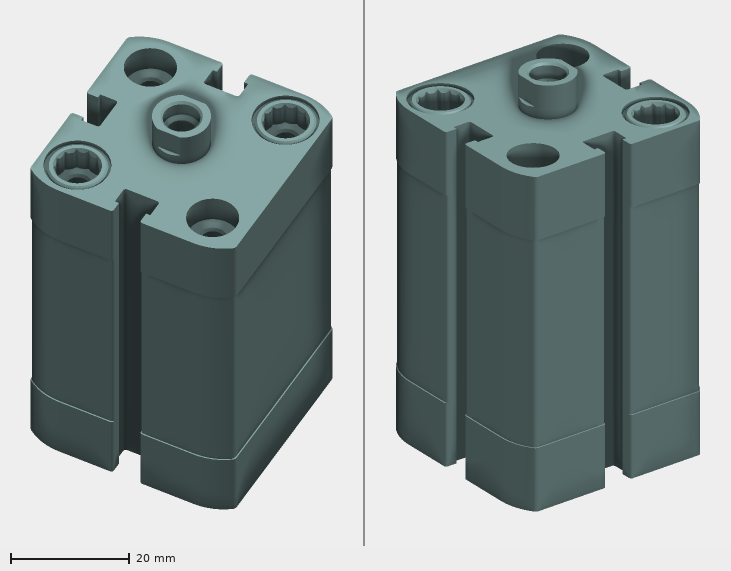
import cadquery as cq
import math

cap_width = 39.5
barrel_inset = 0.25
housing_height = 63.85
cap_height = 12.1
barrel_height = housing_height - 2 * cap_height

corner_arc_start = 13.0
corner_arc_radius = 10.7
corner_blend_radius = 0.9

slot_mouth_width = 5.2
slot_mouth_depth = 2.3
slot_width = 6.8
slot_depth = 5.75
slot_lip_radius = 0.5
slot_floor_radius = 0.5
slot_directions = [0, 90, 180]

hole_offset = 13.0
bore_diameter = 4.13
bore_mouth_diameter = 5.0
counterbore_diameter = 9.0
counterbore_depth = 5.0

recess_diameter = 11.5
recess_depth = 0.1
screw_diameter = 10.5
screw_chamfer = 0.4
screw_gap_depth = 0.8
socket_mouth_diameter = 8.3
socket_diameter = 7.5
hexagon_width = 7.0
hexagon_angles = [0, 30]
socket_mouth_slope = 60.0
socket_depth = 4.7

rod_diameter = 10.0
rod_projection = 6.45
rod_insertion = 24.0
rod_top = housing_height + rod_projection
rod_bottom = housing_height - rod_insertion
flat_distance = 9.0
flat_height = 4.3
shoulder_drop = 0.25

rod_hole_mouth_diameter = 7.2
rod_counterbore_diameter = 6.4
rod_counterbore_depth = 2.9
rod_thread_diameter = 5.0
rod_thread_depth = 14.0
drill_tip_angle = 118.0


def housing_profile(half_width, height):
    """Square prism whose four corners are broad arcs tangent to the Y faces."""
    run = half_width - corner_arc_start
    corner_y = half_width - corner_arc_radius + math.sqrt(corner_arc_radius**2 - run**2)
    half_angle = math.asin(run / corner_arc_radius) / 2
    mid_x = corner_arc_start + corner_arc_radius * math.sin(half_angle)
    mid_y = half_width - corner_arc_radius + corner_arc_radius * math.cos(half_angle)
    prism = (
        cq.Workplane("XY")
        .moveTo(-corner_arc_start, half_width)
        .lineTo(corner_arc_start, half_width)
        .threePointArc((mid_x, mid_y), (half_width, corner_y))
        .lineTo(half_width, -corner_y)
        .threePointArc((mid_x, -mid_y), (corner_arc_start, -half_width))
        .lineTo(-corner_arc_start, -half_width)
        .threePointArc((-mid_x, -mid_y), (-half_width, -corner_y))
        .lineTo(-half_width, corner_y)
        .threePointArc((-mid_x, mid_y), (-corner_arc_start, half_width))
        .close()
        .extrude(height)
    )
    return prism.edges("|Z and (>X or <X)").fillet(corner_blend_radius)


def slotted_profile(half_width, height):
    """Housing prism with a T-slot in the +Y, -X and -Y faces."""
    prism = housing_profile(half_width, height)
    channel_bottom = cap_width / 2 - slot_depth
    neck_bottom = cap_width / 2 - slot_mouth_depth
    channel = (
        cq.Workplane("XY")
        .center(0, (channel_bottom + neck_bottom) / 2)
        .rect(slot_width, neck_bottom - channel_bottom)
        .extrude(height)
        .edges("|Z and <Y")
        .fillet(slot_floor_radius)
    )
    lip_start = half_width - slot_lip_radius
    mouth = slot_mouth_width / 2
    lip = mouth + slot_lip_radius
    bulge = slot_lip_radius * (1 - math.sqrt(0.5))
    neck = (
        cq.Workplane("XY")
        .moveTo(-mouth, channel_bottom + slot_floor_radius)
        .lineTo(-mouth, lip_start)
        .threePointArc((-mouth - bulge, half_width - bulge), (-lip, half_width))
        .lineTo(lip, half_width)
        .threePointArc((mouth + bulge, half_width - bulge), (mouth, lip_start))
        .lineTo(mouth, channel_bottom + slot_floor_radius)
        .close()
        .extrude(height)
    )
    slot = channel.union(neck)
    for angle in slot_directions:
        prism = prism.cut(slot.rotate((0, 0, 0), (0, 0, 1), angle))
    return prism


def revolved(points):
    """Solid of revolution about Z from (radius, height) points."""
    return cq.Workplane("XZ").polyline(points).close().revolve(360, (0, 0, 0), (0, 1, 0))


def through_bore(floor):
    """Through bore, widened by a short cone just below the given floor height."""
    bore = bore_diameter / 2
    mouth = bore_mouth_diameter / 2
    return revolved([(0, 0), (bore, 0), (bore, floor - (mouth - bore)), (mouth, floor), (0, floor)])


def plain_hole():
    """Through bore with a plain counterbore."""
    floor = housing_height - counterbore_depth
    counterbore = cq.Workplane("XY").workplane(offset=floor).circle(counterbore_diameter / 2)
    return through_bore(floor).union(counterbore.extrude(counterbore_depth))


def hexagon_socket():
    """Double-hexagon socket whose inner corners are cleared by a round hole."""
    head_top = housing_height - recess_depth
    depth = head_top - (housing_height - socket_depth)
    corner_circle = hexagon_width / math.cos(math.pi / 6)
    base = cq.Workplane("XY").workplane(offset=head_top - depth)
    socket = base.circle(socket_diameter / 2).extrude(depth)
    for angle in hexagon_angles:
        hexagon = base.polygon(6, corner_circle).extrude(depth)
        socket = socket.union(hexagon.rotate((0, 0, 0), (0, 0, 1), angle))
    return socket


def screw_hole():
    """Cut that leaves a recessed, chamfered screw head with a double-hexagon socket."""
    head_top = housing_height - recess_depth
    gap_bottom = housing_height - screw_gap_depth
    recess = recess_diameter / 2
    head = screw_diameter / 2
    rim = revolved([
        (0, housing_height),
        (recess, housing_height),
        (recess, gap_bottom),
        (head, gap_bottom),
        (head, head_top - screw_chamfer),
        (head - screw_chamfer, head_top),
        (0, head_top),
    ])
    mouth = socket_mouth_diameter / 2
    cone_tip = head_top - mouth * math.tan(math.radians(socket_mouth_slope))
    mouth_cone = revolved([(0, head_top), (mouth, head_top), (0, cone_tip)])
    bore = through_bore(housing_height - socket_depth)
    return bore.union(rim).union(hexagon_socket()).union(mouth_cone)


def rod_cylinder():
    """Full-diameter rod, from its seat in the housing to its outer end."""
    return (
        cq.Workplane("XY").workplane(offset=rod_bottom)
        .circle(rod_diameter / 2).extrude(rod_top - rod_bottom)
    )


def rod_hole():
    """Chamfered counterbore, conical lead-in, threaded bore and drill point."""
    mouth = rod_hole_mouth_diameter / 2
    counterbore = rod_counterbore_diameter / 2
    thread = rod_thread_diameter / 2
    counterbore_floor = rod_top - rod_counterbore_depth
    thread_end = rod_top - rod_thread_depth
    tip_length = thread / math.tan(math.radians(drill_tip_angle / 2))
    return revolved([
        (0, rod_top),
        (mouth, rod_top),
        (counterbore, rod_top - (mouth - counterbore)),
        (counterbore, counterbore_floor),
        (thread, counterbore_floor - (counterbore - thread)),
        (thread, thread_end),
        (0, thread_end - tip_length),
    ])


def flat_cut():
    """Material outside one wrench flat, on the +Y side, ending in a sloped shoulder."""
    flat_y = flat_distance / 2
    rod_radius = rod_diameter / 2
    return (
        cq.Workplane("YZ")
        .moveTo(flat_y, rod_top)
        .lineTo(rod_radius, rod_top)
        .lineTo(rod_radius, rod_top - flat_height - shoulder_drop)
        .lineTo(flat_y, rod_top - flat_height)
        .close()
        .extrude(rod_radius, both=True)
    )


cap = slotted_profile(cap_width / 2, cap_height)
barrel = slotted_profile(cap_width / 2 - barrel_inset, barrel_height)
housing = (
    cap.union(barrel.translate((0, 0, cap_height)))
    .union(cap.translate((0, 0, cap_height + barrel_height)))
)
for side in (-1, 1):
    housing = housing.cut(plain_hole().translate((-side * hole_offset, side * hole_offset, 0)))
    housing = housing.cut(screw_hole().translate((side * hole_offset, side * hole_offset, 0)))
housing = housing.cut(rod_cylinder())

piston_rod = rod_cylinder().cut(rod_hole())
for angle in (0, 180):
    piston_rod = piston_rod.cut(flat_cut().rotate((0, 0, 0), (0, 0, 1), angle))

result = cq.Compound.makeCompound([housing.val(), piston_rod.val()])